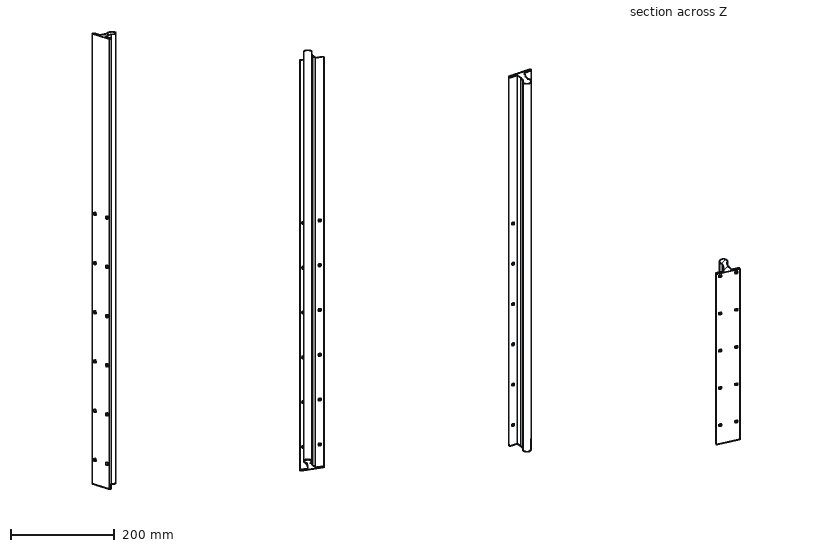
import cadquery as cq
import math

RAIL_LENGTH = 914.4
RAIL_HEIGHT = 38.0
BASE_WIDTH = 48.0

SHAFT_DIAMETER = 16.0
SHAFT_END_CHAMFER = 1.0

BASE_THICKNESS = 5.1
BASE_EDGE_FILLET = 1.4
FOOT_BOTTOM_WIDTH = 15.7
FOOT_TOP_WIDTH = 10.7
FOOT_TOP_HEIGHT = 14.3
NECK_WIDTH = 10.0

HOLE_DIAMETER = 5.5
HOLE_SPACING = 33.0
HOLE_PITCH = 100.0
HOLE_ROWS = 6
FIRST_HOLE_HEIGHT = 50.0

SHAFT_RADIUS = SHAFT_DIAMETER / 2
SHAFT_CENTRE_Y = RAIL_HEIGHT - SHAFT_RADIUS


def make_support():
    """Base, foot and neck as one symmetric profile, extruded along Z."""
    half_neck = NECK_WIDTH / 2
    neck_top = SHAFT_CENTRE_Y - math.sqrt(SHAFT_RADIUS**2 - half_neck**2)
    right_side = [
        (BASE_WIDTH / 2, 0),
        (BASE_WIDTH / 2, BASE_THICKNESS),
        (FOOT_BOTTOM_WIDTH / 2, BASE_THICKNESS),
        (FOOT_TOP_WIDTH / 2, FOOT_TOP_HEIGHT),
        (half_neck, FOOT_TOP_HEIGHT),
        (half_neck, neck_top),
    ]
    left_side = [(-x, y) for x, y in reversed(right_side)]
    support = cq.Workplane("XY").polyline(right_side + left_side).close().extrude(RAIL_LENGTH)
    return support.edges("|Z and (<X or >X)").edges(">Y").fillet(BASE_EDGE_FILLET)


def make_shaft():
    """Round shaft along Z, chamfered at its lower end."""
    return (
        cq.Workplane("XY")
        .center(0, SHAFT_CENTRE_Y)
        .circle(SHAFT_RADIUS)
        .extrude(RAIL_LENGTH)
        .faces("<Z")
        .chamfer(SHAFT_END_CHAMFER)
    )


def make_hole_cutters():
    """Two columns of round cutters along Y, through the base on both sides of the foot."""
    centres = []
    for row in range(HOLE_ROWS):
        height = FIRST_HOLE_HEIGHT + row * HOLE_PITCH
        for side in (-1, 1):
            centres.append((side * HOLE_SPACING / 2, height))
    return (
        cq.Workplane("XZ")
        .pushPoints(centres)
        .circle(HOLE_DIAMETER / 2)
        .extrude(-BASE_THICKNESS)
    )


result = make_support().union(make_shaft()).cut(make_hole_cutters())